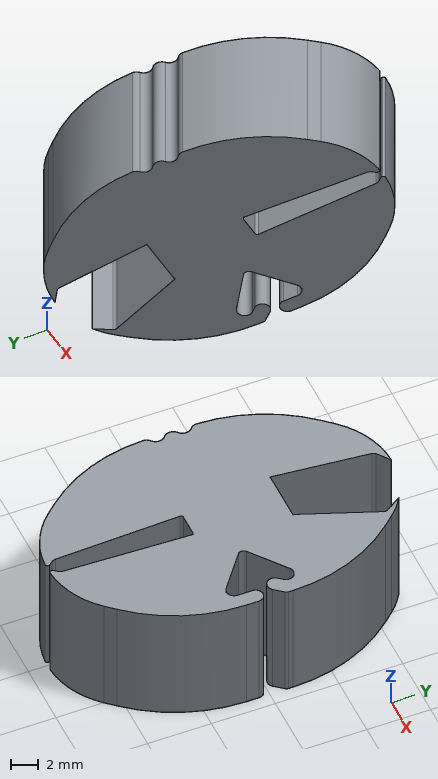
import cadquery as cq
import math

width = 18.0
length = 27.0
height = 10.0
half_width = width / 2
half_length = length / 2
overcut = 1.35

end_radius = 6.75
flank_radius = 13.0
flank_center_y = 1.84

notch_floor_y = 4.83
notch_floor_left, notch_floor_right = -2.02, 2.05
notch_left_corner = (-1.25, 12.63)
notch_right_corner = (4.45, 11.1)
notch_left_tip = (-0.1, half_length)
notch_right_tip = (3.54, 12.5)
notch_rounding = 0.35

slot_floor_y = -2.48
slot_floor_half_width = 1.03
slot_neck_half_width = 0.65
slot_neck_y = -12.77
slot_mouth_half_width = 0.27
slot_mouth_y = -13.2
slot_floor_rounding = 0.2
slot_neck_rounding = 0.6
slot_mouth_rounding = 0.15

apex_radius = 0.4
apex_x = 3.95
pocket_radius = 0.6
pocket_x, pocket_y = 7.25, 2.02
upper_lip_angle = 51.0
upper_lip_radius = 0.6
upper_lip_straight = 0.49
upper_lip_rounding = 0.4
lower_lip_tip_y = -0.27

groove_pitch = 1.05
groove_depth = 0.5


def polar(center, radius, degrees):
    """Point on a circle at the given angle."""
    angle = math.radians(degrees)
    return (center[0] + radius * math.cos(angle), center[1] + radius * math.sin(angle))


def fillet_at(solid, point, radius):
    """Round the vertical edge that passes through an XY point."""
    reach = 0.05
    x, y = point
    box = cq.selectors.BoxSelector(
        (x - reach, y - reach, 0), (x + reach, y + reach, height)
    )
    return solid.edges("|Z").edges(box).fillet(radius)


def make_body():
    flank_center = (half_width - flank_radius, flank_center_y)
    end_center = (0, half_length - end_radius)
    dx = end_center[0] - flank_center[0]
    dy = end_center[1] - flank_center[1]
    spread = math.acos((flank_radius - end_radius) / math.hypot(dx, dy))
    joint_angle = math.degrees(math.atan2(dy, dx) - spread)

    flank_end = polar(flank_center, flank_radius, joint_angle)
    flank_middle = polar(flank_center, flank_radius, joint_angle / 2)
    end_start = polar(end_center, end_radius, joint_angle)
    quarter = (
        cq.Workplane("XY")
        .lineTo(half_width, 0)
        .lineTo(half_width, flank_center_y)
        .threePointArc(flank_middle, flank_end)
        .lineTo(*end_start)
        .threePointArc(polar(end_center, end_radius, (90 + joint_angle) / 2), (0, half_length))
        .close()
        .extrude(height)
    )
    half = quarter.union(quarter.mirror("YZ"))
    return half.union(half.mirror("XZ")).clean()


def make_notch():
    mouth_y = half_length + overcut
    notch = (
        cq.Workplane("XY")
        .polyline([
            (notch_floor_left, notch_floor_y),
            (notch_floor_right, notch_floor_y),
            notch_right_corner,
            notch_right_tip,
            (notch_right_tip[0], mouth_y),
            (notch_left_tip[0], mouth_y),
            notch_left_tip,
            notch_left_corner,
        ])
        .close()
        .extrude(height)
    )
    for corner in (notch_left_corner, notch_right_corner):
        notch = fillet_at(notch, corner, notch_rounding)
    return notch


def make_slot():
    right_side = [
        (slot_floor_half_width, slot_floor_y),
        (slot_neck_half_width, slot_neck_y),
        (slot_mouth_half_width, slot_mouth_y),
        (slot_mouth_half_width, -half_length - overcut),
    ]
    left_side = [(-x, y) for x, y in reversed(right_side)]
    slot = cq.Workplane("XY").polyline(right_side + left_side).close().extrude(height)
    for side in (-1, 1):
        slot = fillet_at(slot, (side * slot_floor_half_width, slot_floor_y), slot_floor_rounding)
        slot = fillet_at(slot, (side * slot_neck_half_width, slot_neck_y), slot_neck_rounding)
    return slot


apex_center = (apex_x + apex_radius, 0)
upper_pocket = (pocket_x, pocket_y)
lower_pocket = (pocket_x, -pocket_y)
wall_run = pocket_x - apex_center[0]
wall_angle = math.degrees(
    math.atan2(pocket_y, wall_run)
    + math.asin((pocket_radius - apex_radius) / math.hypot(wall_run, pocket_y))
)
wall_normal = 90 + wall_angle
lip_outward = upper_lip_angle - 90
lip_root = polar(upper_pocket, pocket_radius + upper_lip_radius, lip_outward)
lip_center = polar(lip_root, upper_lip_straight, upper_lip_angle + 180)
lip_outer = polar(lip_center, upper_lip_radius, lip_outward)
lip_slope = math.tan(math.radians(upper_lip_angle))
lip_corner = (half_width, lip_outer[1] + (half_width - lip_outer[0]) * lip_slope)


def make_clip_cavity():
    lower_lip_inner_x = pocket_x + pocket_radius
    lower_lip_radius = (half_width - lower_lip_inner_x) / 2
    lower_lip_y = lower_lip_tip_y - lower_lip_radius
    outside_x = half_width + overcut
    return (
        cq.Workplane("XY")
        .moveTo(*polar(apex_center, apex_radius, wall_normal))
        .lineTo(*polar(upper_pocket, pocket_radius, wall_normal))
        .threePointArc(
            polar(upper_pocket, pocket_radius, (wall_normal + lip_outward) / 2),
            polar(upper_pocket, pocket_radius, lip_outward),
        )
        .lineTo(*polar(lip_center, upper_lip_radius, lip_outward + 180))
        .threePointArc(
            polar(lip_center, upper_lip_radius, upper_lip_angle + 180),
            lip_outer,
        )
        .lineTo(*lip_corner)
        .lineTo(outside_x, lip_corner[1])
        .lineTo(outside_x, lower_lip_y)
        .lineTo(half_width, lower_lip_y)
        .threePointArc(
            (half_width - lower_lip_radius, lower_lip_tip_y),
            (lower_lip_inner_x, lower_lip_y),
        )
        .lineTo(lower_lip_inner_x, -pocket_y)
        .threePointArc(
            polar(lower_pocket, pocket_radius, -wall_normal / 2),
            polar(lower_pocket, pocket_radius, -wall_normal),
        )
        .lineTo(*polar(apex_center, apex_radius, -wall_normal))
        .threePointArc((apex_x, 0), polar(apex_center, apex_radius, wall_normal))
        .close()
        .extrude(height)
    )


def make_grooves():
    """Alternating tangent arcs of equal radius, from shoulder to shoulder."""
    radius = (groove_pitch**2 + groove_depth**2) / (4 * groove_depth)
    inflection_x = -half_width + groove_depth / 2
    trough_x = -half_width + groove_depth
    shoulder_y = 2 * groove_pitch
    inflection_y = 1.5 * groove_pitch
    wave = (
        cq.Workplane("XY")
        .moveTo(-half_width, -shoulder_y)
        .radiusArc((inflection_x, -inflection_y), radius)
        .threePointArc((trough_x, -groove_pitch), (inflection_x, -groove_pitch / 2))
        .threePointArc((-half_width, 0), (inflection_x, groove_pitch / 2))
        .threePointArc((trough_x, groove_pitch), (inflection_x, inflection_y))
        .radiusArc((-half_width, shoulder_y), radius)
    )
    outside_x = -half_width - overcut
    return (
        wave.lineTo(outside_x, shoulder_y)
        .lineTo(outside_x, -shoulder_y)
        .close()
        .extrude(height)
    )


result = make_body()
for cutter in (make_notch(), make_slot(), make_clip_cavity(), make_grooves()):
    result = result.cut(cutter)
result = fillet_at(result, lip_corner, upper_lip_rounding)

mouth_edge_y = end_radius - half_length - math.sqrt(end_radius**2 - slot_mouth_half_width**2)
for side in (-1, 1):
    result = fillet_at(result, (side * slot_mouth_half_width, mouth_edge_y), slot_mouth_rounding)